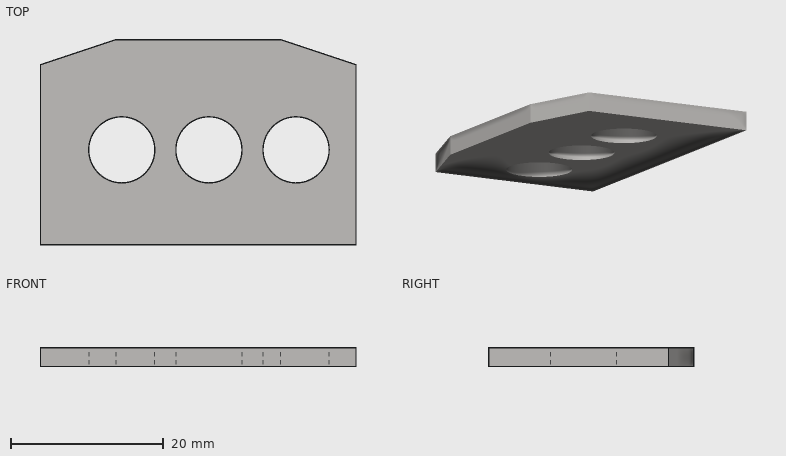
import cadquery as cq

length = 41.4
width = 26.92
thickness = 2.5

slope_run = 9.9
slope_drop = 3.3

hole_diameter = 8.64
hole_count = 3
hole_pitch = 11.43
row_offset_x = 1.4
middle_hole_x = length / 2 + row_offset_x
hole_row_y = 12.45


def make_plate():
    """Flat plate with its front left corner at the origin and both rear corners sloped."""
    shoulder_y = width - slope_drop
    outline = [
        (0, 0),
        (length, 0),
        (length, shoulder_y),
        (length - slope_run, width),
        (slope_run, width),
        (0, shoulder_y),
    ]
    return cq.Workplane("XY").polyline(outline).close().extrude(thickness)


def make_hole_row():
    """Cylinders that cut the evenly spaced holes through the plate."""
    first_hole_x = middle_hole_x - hole_pitch * (hole_count - 1) / 2
    centers = [(first_hole_x + i * hole_pitch, hole_row_y) for i in range(hole_count)]
    return cq.Workplane("XY").pushPoints(centers).circle(hole_diameter / 2).extrude(thickness)


result = make_plate().cut(make_hole_row())